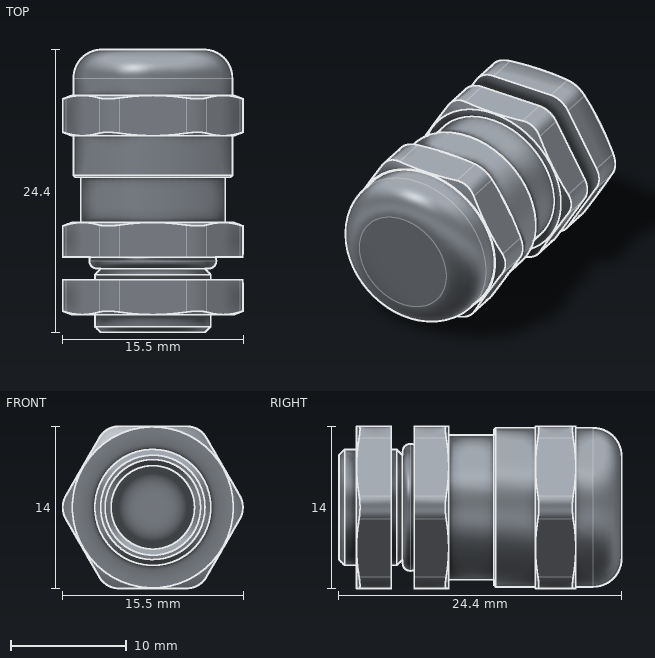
import cadquery as cq
import math

total_length = 24.4

across_flats = 14.0
hex_corner_radius = 2.0
hex_face_diameter = 13.9
hex_bevel_depth = 0.32

thread_diameter = 10.0
thread_chamfer = 0.5
thread_end = 5.5
bore_diameter = 7.2
bore_mouth_diameter = 8.25
bore_mouth_depth = 0.51
bore_depth = 5.0

nut_start = 1.51
nut_thickness = 3.03
seal_diameter = 10.98
seal_section_radius = 0.68
flange_start = 6.5
flange_thickness = 3.0
body_diameter = 12.5

cap_diameter = 13.75
cap_start = 13.38
cap_chamfer = 0.17
cap_hex_start = 16.95
cap_hex_thickness = 3.52
dome_radius = 2.5


def cylinder(diameter, start, end):
    """Cylinder on the Y axis between two stations."""
    plane = cq.Workplane("XZ", origin=(0, start, 0))
    return plane.circle(diameter / 2).extrude(start - end)


def hexagon(start, thickness, bevel_start=False, bevel_end=False):
    """Hexagon with rounded corners and optional conical bevels on its faces."""
    end = start + thickness
    corner_diameter = across_flats / math.cos(math.pi / 6)
    prism = cq.Workplane("XZ", origin=(0, start, 0)).polygon(6, corner_diameter).extrude(-thickness)
    prism = prism.edges("|Y").fillet(hex_corner_radius)

    face_radius = hex_face_diameter / 2
    rim_radius = corner_diameter / 2
    rounded_radius = rim_radius - hex_corner_radius * (1 / math.cos(math.pi / 6) - 1)
    rim_depth = hex_bevel_depth * (rim_radius - face_radius) / (rounded_radius - face_radius)
    profile = cq.Workplane("XY").moveTo(0, start)
    if bevel_start:
        profile = profile.lineTo(face_radius, start).lineTo(rim_radius, start + rim_depth)
    else:
        profile = profile.lineTo(rim_radius, start)
    if bevel_end:
        profile = profile.lineTo(rim_radius, end - rim_depth).lineTo(face_radius, end)
    else:
        profile = profile.lineTo(rim_radius, end)
    envelope = profile.lineTo(0, end).close().revolve(360, (0, 0, 0), (0, 1, 0))
    return prism.intersect(envelope)


def threaded_end():
    """Plain thread cylinder chamfered at both ends."""
    return cylinder(thread_diameter, 0, thread_end).edges().chamfer(thread_chamfer)


def seal():
    """Round-section sealing ring, filled to the axis and partly sunk into the flange."""
    sunk_end = thread_end + 2 * seal_section_radius
    ring_radius = seal_diameter / 2 - seal_section_radius
    disc = cylinder(2 * ring_radius, thread_end, sunk_end)
    ring = (
        cq.Workplane("XY")
        .center(ring_radius, thread_end + seal_section_radius)
        .circle(seal_section_radius)
        .revolve(360, (-ring_radius, 0, 0), (-ring_radius, 1, 0))
    )
    return disc.union(ring)


def cap():
    """Sleeve with a small chamfer at its open rim and a rounded closed end."""
    sleeve = cylinder(cap_diameter, cap_start, total_length)
    sleeve = sleeve.faces("<Y").edges().chamfer(cap_chamfer)
    return sleeve.faces(">Y").edges().fillet(dome_radius)


def bore():
    """Blind bore with a conical mouth."""
    mouth_radius = bore_mouth_diameter / 2
    bore_radius = bore_diameter / 2
    return (
        cq.Workplane("XY")
        .moveTo(0, 0)
        .lineTo(mouth_radius, 0)
        .lineTo(bore_radius, bore_mouth_depth)
        .lineTo(bore_radius, bore_depth)
        .lineTo(0, bore_depth)
        .close()
        .revolve(360, (0, 0, 0), (0, 1, 0))
    )


body = cylinder(body_diameter, flange_start, cap_start)
lock_nut = hexagon(nut_start, nut_thickness, bevel_start=True)
flange = hexagon(flange_start, flange_thickness, bevel_end=True)
cap_hex = hexagon(cap_hex_start, cap_hex_thickness, bevel_start=True, bevel_end=True)

result = threaded_end()
for piece in (lock_nut, seal(), flange, body, cap(), cap_hex):
    result = result.union(piece)
result = result.cut(bore())